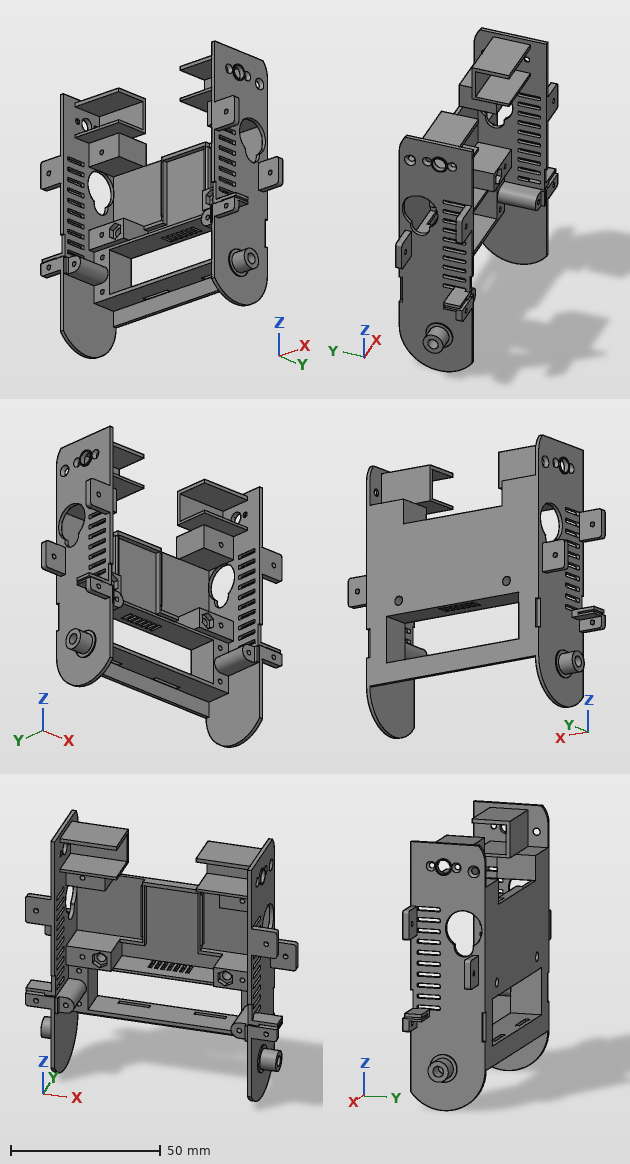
import cadquery as cq


height = 91.5
depth = 26.2
plate_outer = 35.2
plate_inner = 33.8
tab_reach = 44.2
end_radius = 14.5
axis_y = depth - end_radius
axis_z = end_radius
top_round = 8.6
top_round_z = 85.6
collar_x = 35.7
cut_margin = 0.5

front_notch_depth = 0.7
front_notch_z = (32.75, 40.7)
back_notch_depth = 1.1
back_notch_z = (24.4, 34.4)

keyhole_y = 18.7
keyhole_large = (62.5, 6.4)
keyhole_small = (56.5, 3.4)
vent_count = 10
vent_pitch = 3.75
vent_top_z = 68.7
vent_y = (2.3, 10.3)
vent_height = 1.4
vent_round = 0.5
shaft_z = 83.5
shaft_radius = 2.4
shaft_collar_radius = 2.8
screw_spacing = 9.0
screw_radius = 0.9
screw_sink_radius = 1.65
corner_screw = (22.2, 82.5)
corner_screw_radius = 1.2
corner_sink_radius = 2.0

axle_radius = 3.6
axle_collar_radius = 4.8
axle_bore_radius = 1.8
axle_end = 41.25

tab_thickness = 2.2
tab_height = 10.0
tab_round = 1.0
tab_hole_x = 40.4
small_hole_radius = 0.8
front_tab_z = 59.5
back_tab_y = 21.8
back_tab_z = 43.9
ledge_depth = 6.7
ledge_z = (33.3, 34.4)
angle_z = (31.9, 32.7)
angle_leg_z = 28.0
angle_web_x = 37.7
angle_hole_z = 30.4

block_front = 12.7

channel_inner_x = 14.0
channel_y = (5.85, 19.2)
channel_z = (77.3, 89.8)
channel_floor = 1.0
channel_wall = 1.4
carrier_x = 20.1
carrier_hole_z = 72.4
block_screw_x = 28.1
blind_depth = 4.6

panel_top = 68.7
panel_thickness = 1.4
panel_front = depth - panel_thickness
rim_front = 22.8
rim_outer = 10.1
rim_wall = 0.6
rim_inner = rim_outer - rim_wall
rim_top = 1.4
rim_foot_z = (44.6, 45.8)
catch_width = 0.69
catch_x = rim_outer + catch_width
catch_nose_y = 23.2
catch_z = (47.75, 66.9)

nut_block_x = 18.0
nut_x = 22.0
nut_z = 42.3
nut_flats = 5.0
nut_pocket = 2.0
nut_bolt_radius = 1.6
nut_screw_z = 42.5

bay_front = 15.3
shelf_z = (37.6, 38.6)
floor_z = (20.0, 21.4)
skirt_bottom = 14.45
bay_half_width = 27.0
bay_screw_x = 30.1
bay_screw_z = (23.2, 35.7)
shelf_slot_count = 7
shelf_slot_pitch = 2.2
shelf_slot_width = 1.1
shelf_slot_y = (19.6, 24.2)
floor_slot_x = (7.9, 18.8)
floor_slot_y = (23.05, 24.5)

spacer_front = 1.65
spacer_radius = 2.9
spacer_x = 30.5
spacer_z = 29.4
pad_front = 0.4
pad_x = 32.9


def box(x, y, z):
    """Box spanning three (low, high) ranges."""
    return (
        cq.Workplane("XY")
        .box(x[1] - x[0], y[1] - y[0], z[1] - z[0], centered=False)
        .translate((x[0], y[0], z[0]))
    )


def rod_x(x, y, z, radius):
    """Cylinder along X between two X positions."""
    return cq.Workplane("YZ", origin=(x[0], y, z)).circle(radius).extrude(x[1] - x[0])


def rod_y(x, y, z, radius):
    """Cylinder along Y between two Y positions."""
    return cq.Workplane("XZ", origin=(x, y[0], z)).circle(radius).extrude(y[0] - y[1])


def countersink(y, z, mouth_radius, hole_radius):
    """Cone through the plate, widest on the outer side."""
    thickness = plate_outer - plate_inner
    return (
        cq.Workplane("YZ", origin=(-plate_outer, y, z))
        .circle(mouth_radius)
        .workplane(offset=thickness)
        .circle(hole_radius)
        .loft()
    )


def side_plate():
    plate_x = (-plate_outer, -plate_inner)
    cut_x = (-collar_x - cut_margin, -plate_inner + cut_margin)
    blank = box(plate_x, (0, depth), (axis_z, height))
    rounded_end = rod_x(plate_x, axis_y, axis_z, end_radius)
    end_limit = box(plate_x, (0, depth), (0, height))
    plate = blank.union(rounded_end.intersect(end_limit))

    corner_y = depth - top_round
    corner = box(plate_x, (corner_y, depth), (top_round_z, height))
    plate = plate.cut(corner)
    plate = plate.union(rod_x(plate_x, corner_y, top_round_z, top_round).intersect(corner))

    plate = plate.cut(box(plate_x, (0, front_notch_depth), front_notch_z))
    plate = plate.cut(box(plate_x, (depth - back_notch_depth, depth), back_notch_z))

    for z, radius in (keyhole_large, keyhole_small):
        plate = plate.cut(rod_x(cut_x, keyhole_y, z, radius))
    for i in range(vent_count):
        z = vent_top_z - i * vent_pitch
        vent = box(plate_x, vent_y, (z - vent_height / 2, z + vent_height / 2))
        plate = plate.cut(vent.edges("|X").fillet(vent_round))

    plate = plate.union(rod_x((-collar_x, -plate_inner), axis_y, shaft_z, shaft_collar_radius))
    plate = plate.cut(rod_x(cut_x, axis_y, shaft_z, shaft_radius))
    for side in (-1, 1):
        y = axis_y + side * screw_spacing / 2
        plate = plate.cut(countersink(y, shaft_z, screw_sink_radius, screw_radius))
    return plate.cut(countersink(*corner_screw, corner_sink_radius, corner_screw_radius))


def axle_boss():
    collar = rod_x((-collar_x, -plate_inner), axis_y, axis_z, axle_collar_radius)
    boss = rod_x((-axle_end, -plate_inner), axis_y, axis_z, axle_radius)
    bore = rod_x((-axle_end, -plate_outer), axis_y, axis_z, axle_bore_radius)
    return collar.union(boss).cut(bore)


def outer_tab(front_y, bottom_z):
    """Flat tab with two rounded corners and a through hole."""
    y = (front_y, front_y + tab_thickness)
    tab = box((-tab_reach, -plate_inner), y, (bottom_z, bottom_z + tab_height))
    tab = tab.edges("|Y and <X").fillet(tab_round)
    return tab.cut(rod_y(-tab_hole_x, y, bottom_z + tab_height / 2, small_hole_radius))


def angle_tab():
    """Ledge above an angle, joined to it by a web beside the plate."""
    x = (-tab_reach, -plate_inner)
    leg_y = (0, tab_thickness)
    ledge = box(x, (front_notch_depth, ledge_depth), ledge_z)
    leg = box(x, leg_y, (angle_leg_z, angle_z[1])).edges("|Y and <X and <Z").fillet(tab_round)
    leg = leg.cut(rod_y(-tab_hole_x, leg_y, angle_hole_z, small_hole_radius))
    angle = leg.union(box(x, (0, ledge_depth), angle_z))
    web = box((-angle_web_x, -plate_inner), (front_notch_depth, ledge_depth), (angle_z[1], ledge_z[0]))
    return ledge.union(angle).union(web)


def channel_bracket():
    """Channel open to the front, on a solid carrier behind and below it."""
    x = (-plate_inner, -channel_inner_x)
    channel = box(x, channel_y, channel_z)
    cavity_y = (channel_y[0], channel_y[1] - channel_wall)
    cavity_z = (channel_z[0] + channel_floor, channel_z[1] - channel_wall)
    channel = channel.cut(box(x, cavity_y, cavity_z))
    carrier = box((-plate_inner, -carrier_x), (block_front, depth), (panel_top, channel_z[0]))
    hole_y = (block_front, block_front + blind_depth)
    return channel.union(carrier.cut(rod_y(-block_screw_x, hole_y, carrier_hole_z, small_hole_radius)))


def half_panel():
    """Left half of the back panel with its T-shaped rim and side catch."""
    rim_y = (rim_front, depth)
    panel = box((-plate_inner, 0), (panel_front, depth), (shelf_z[0], panel_top))
    panel = panel.union(box((-rim_outer, 0), rim_y, (panel_top - rim_top, panel_top)))
    panel = panel.union(box((-rim_outer, -rim_inner), rim_y, (rim_foot_z[0], panel_top)))
    panel = panel.union(box((-nut_block_x, -rim_inner), rim_y, rim_foot_z))
    catch = (
        cq.Workplane("XY", origin=(0, 0, catch_z[0]))
        .polyline(
            [
                (-rim_outer, rim_front),
                (-catch_x, catch_nose_y),
                (-catch_x, depth),
                (-rim_outer, depth),
            ]
        )
        .close()
        .extrude(catch_z[1] - catch_z[0])
    )
    return panel.union(catch)


def nut_block():
    y = (block_front, depth)
    block = box((-plate_inner, -nut_block_x), y, (shelf_z[1], rim_foot_z[1]))
    hole_y = (block_front, block_front + blind_depth)
    return block.cut(rod_y(-block_screw_x, hole_y, nut_screw_z, small_hole_radius))


def nut_hole():
    """Hexagonal nut pocket with a bolt hole through to the back."""
    hexagon = (
        cq.Workplane("XZ", origin=(-nut_x, block_front, nut_z))
        .polygon(6, nut_flats, circumscribed=True)
        .extrude(-nut_pocket)
    )
    return hexagon.union(rod_y(-nut_x, (block_front, depth), nut_z, nut_bolt_radius))


def half_bay():
    """Left half of the shelf, floor, end block and back skirt."""
    y = (bay_front, depth)
    bay = box((-plate_inner, 0), y, shelf_z)
    bay = bay.union(box((-plate_inner, 0), y, floor_z))
    bay = bay.union(box((-plate_inner, -bay_half_width), y, (floor_z[0], shelf_z[1])))
    bay = bay.union(box((-plate_inner, 0), (panel_front, depth), (skirt_bottom, floor_z[1])))
    for z in bay_screw_z:
        hole_y = (bay_front, bay_front + blind_depth)
        bay = bay.cut(rod_y(-bay_screw_x, hole_y, z, small_hole_radius))
    return bay.cut(box((-floor_slot_x[1], -floor_slot_x[0]), floor_slot_y, floor_z))


def spacer():
    """Half-round bar in front of the end block, with a thin pad at its front."""
    y = (spacer_front, bay_front)
    z = (spacer_z - spacer_radius, spacer_z + spacer_radius)
    bar = box((-plate_inner, -spacer_x), y, z).union(rod_y(-spacer_x, y, spacer_z, spacer_radius))
    hole_y = (spacer_front, spacer_front + blind_depth)
    bar = bar.cut(rod_y(-spacer_x, hole_y, spacer_z, small_hole_radius))
    return bar.union(box((-plate_inner, -pad_x), (pad_front, bay_front), z))


def shelf_slots():
    slots = cq.Workplane("XY")
    for i in range(shelf_slot_count):
        x = (i - (shelf_slot_count - 1) / 2) * shelf_slot_pitch
        slot_x = (x - shelf_slot_width / 2, x + shelf_slot_width / 2)
        slots = slots.add(box(slot_x, shelf_slot_y, shelf_z))
    return slots.combine()


half = side_plate()
for feature in (
    axle_boss(),
    outer_tab(0, front_tab_z),
    outer_tab(back_tab_y, back_tab_z),
    angle_tab(),
    channel_bracket(),
    half_panel(),
    nut_block(),
    half_bay(),
    spacer(),
):
    half = half.union(feature)
half = half.cut(nut_hole())

result = half.union(half.mirror("YZ")).cut(shelf_slots())